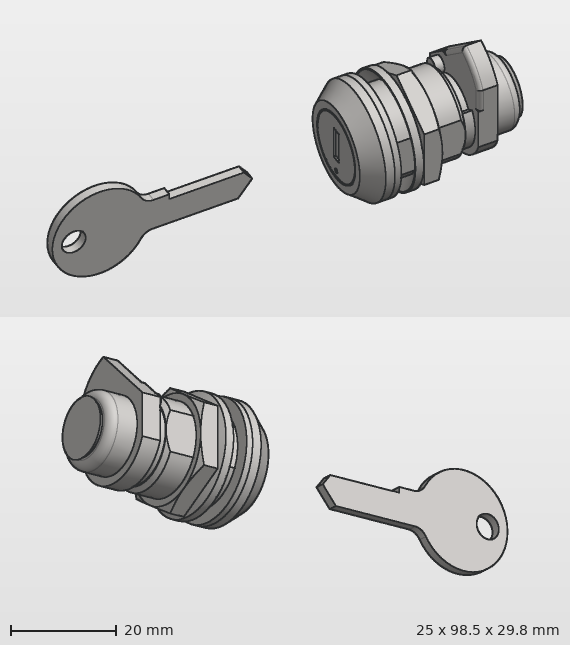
import cadquery as cq
import math


overall_length = 98.5

cone_end = 3.9
flange_end = 5.9
gasket_end = 7.3
washer_front = 10.3
washer_back = 13.0
nut_end = 16.9
barrel_end = 23.2
cam_front = 25.4
cam_back = 29.5
end_nut_back = 35.9
lock_back = 36.8

head_radius = 12.5
head_face_radius = 9.5
barrel_radius = 9.6
barrel_chamfer = 1.0
barrel_half_flats = 8.6
neck_radius = 8.4
stop_floor_radius = 6.6
stop_half_angle = math.radians(59)

plug_radius = 7.7
plug_chamfer = 0.3
plug_length = 20.7
spindle_radius = 4.9
mark_radius = 0.5
mark_z = -5.8
mark_depth = 1.0

washer_edge_end = 12.1
washer_rim_radius = 12.2
washer_dish_depth = 2.0
washer_back_radius = 10.3
nut_sides = 6
nut_across_flats = 22.1
nut_corner_radius = nut_across_flats / 2 / math.cos(math.pi / nut_sides)
nut_corner_bevel = 0.8

cam_bottom = -9.75
cam_side_bottom = -3.1
cam_half_width = 9.7
cam_shoulder_left_z = 5.8
cam_tip = (3.1, 17.0)
cam_nose_mid = (6.6, 14.8)
cam_nose_end = (cam_half_width, 10.8)
cam_rounding = 1.0
cam_rounding_left_z = 10.2
cam_rounding_right_z = 5.8
stop_pin_radius = 1.8
stop_pin_x = -5.6
stop_pin_z = 6.3
stop_pin_gap = 0.3

end_nut_radius = 8.0
end_nut_fillet = 1.9
disc_front_radius = 5.6
disc_back_radius = 6.2

key_back = lock_back - overall_length
key_thickness = 2.1
bow_radius = 10.2
bow_y = key_back + bow_radius
bow_z = 0.7
bow_fillet = 3.0
key_hole_radius = 2.6
key_hole_y = -57.0
blade_tip_y = -18.6
blade_top_start_y = -20.4
blade_bottom_start_y = -21.7
blade_top = 3.0
blade_bottom = -3.1
shoulder_y = -36.4
shoulder_top = 4.1
keyway_depth = 0.5


def disc(radius, y_start, y_end, x=0, z=0):
    """Cylinder along Y between two stations."""
    return (
        cq.Workplane("XZ", origin=(x, y_start, z))
        .circle(radius)
        .extrude(-(y_end - y_start))
    )


def turned(profile):
    """Solid of revolution about Y from (radius, y) points."""
    return cq.Workplane("XY").polyline(profile).close().revolve(360, (0, 0, 0), (0, 1, 0))


def block(x_range, y_range, z_range):
    """Box between given limits."""
    sizes = [high - low for low, high in (x_range, y_range, z_range)]
    corner = (x_range[0], y_range[0], z_range[0])
    return cq.Workplane("XY").box(*sizes, centered=False).translate(corner)


def make_barrel():
    barrel = disc(barrel_radius, flange_end, barrel_end).faces(">Y").chamfer(barrel_chamfer)
    flats = block(
        (-barrel_half_flats, barrel_half_flats),
        (flange_end, barrel_end),
        (-barrel_radius, barrel_radius),
    )
    return barrel.intersect(flats)


def make_neck():
    """Rear neck with a sector recess at the top that limits the cam's turn."""
    reach = 2 * neck_radius
    sector_x = reach * math.sin(stop_half_angle)
    sector_z = reach * math.cos(stop_half_angle)
    sector = (
        cq.Workplane("XZ", origin=(0, barrel_end, 0))
        .polyline([(0, 0), (-sector_x, sector_z), (0, reach), (sector_x, sector_z)])
        .close()
        .extrude(-(cam_front - barrel_end))
        .cut(disc(stop_floor_radius, barrel_end, cam_front))
    )
    return disc(neck_radius, barrel_end, cam_front).cut(sector)


def make_housing():
    head = turned([
        (0, 0),
        (head_face_radius, 0),
        (head_radius, cone_end),
        (head_radius, flange_end),
        (0, flange_end),
    ])
    return (
        head.union(make_barrel())
        .union(make_neck())
        .cut(disc(plug_radius, 0, plug_length))
        .cut(disc(spindle_radius, plug_length, cam_front))
    )


def make_plug():
    keyway = block(
        (-key_thickness / 2, key_thickness / 2),
        (0, keyway_depth),
        (blade_bottom, shoulder_top),
    )
    return (
        disc(plug_radius, 0, plug_length)
        .faces("<Y")
        .chamfer(plug_chamfer)
        .union(disc(spindle_radius, plug_length, end_nut_back))
        .cut(keyway)
        .cut(disc(mark_radius, 0, mark_depth, z=mark_z))
    )


def make_gasket():
    return disc(head_radius, flange_end, gasket_end).cut(disc(barrel_radius, flange_end, gasket_end))


def make_washer():
    """Dished washer, hollow at the front and bevelled at the back."""
    return turned([
        (barrel_radius, washer_front + washer_dish_depth),
        (washer_rim_radius, washer_front),
        (head_radius, washer_front),
        (head_radius, washer_edge_end),
        (washer_back_radius, washer_back),
        (barrel_radius, washer_back),
    ])


def make_nut():
    """Hexagon nut with two corners up and down and its rear corners bevelled."""
    hexagon = (
        cq.Workplane("XZ", origin=(0, washer_back, 0))
        .polygon(nut_sides, 2 * nut_corner_radius)
        .extrude(-(nut_end - washer_back))
        .rotate((0, 0, 0), (0, 1, 0), 180 / nut_sides)
    )
    bevelled_bar = turned([
        (barrel_radius, washer_back),
        (nut_corner_radius, washer_back),
        (nut_corner_radius, nut_end - nut_corner_bevel),
        (nut_across_flats / 2, nut_end),
        (barrel_radius, nut_end),
    ])
    return hexagon.intersect(bevelled_bar)


def make_cam():
    """Cam with a hooked nose, rounded at the front, and a stop pin on its front face."""
    plate = (
        cq.Workplane("XZ", origin=(0, cam_front, 0))
        .moveTo(-cam_half_width, cam_shoulder_left_z)
        .lineTo(*cam_tip)
        .threePointArc(cam_nose_mid, cam_nose_end)
        .lineTo(cam_half_width, cam_side_bottom)
        .threePointArc((0, cam_bottom), (-cam_half_width, cam_side_bottom))
        .close()
        .extrude(-(cam_back - cam_front))
    )
    front_of_nose = cq.selectors.BoxSelector(
        (-cam_half_width / 2, cam_front - cam_rounding / 2, 0),
        (cam_half_width + cam_rounding, cam_front + cam_rounding / 2, cam_tip[1]),
    )
    square_edged_base = block(
        (-cam_half_width, 0),
        (cam_front, cam_back),
        (cam_bottom, cam_rounding_left_z),
    ).union(block(
        (0, cam_half_width),
        (cam_front, cam_back),
        (cam_bottom, cam_rounding_right_z),
    )).intersect(plate)
    stop_pin = disc(stop_pin_radius, barrel_end + stop_pin_gap, cam_front, stop_pin_x, stop_pin_z)
    return (
        plate.edges(front_of_nose)
        .fillet(cam_rounding)
        .union(square_edged_base)
        .union(stop_pin)
        .cut(disc(spindle_radius, cam_front, cam_back))
    )


def make_end_nut():
    return (
        disc(end_nut_radius, cam_back, end_nut_back)
        .faces(">Y")
        .fillet(end_nut_fillet)
        .cut(disc(spindle_radius, cam_back, end_nut_back))
    )


def make_end_disc():
    return turned([
        (0, end_nut_back),
        (disc_front_radius, end_nut_back),
        (disc_back_radius, lock_back),
        (0, lock_back),
    ])


def make_key():
    blade = (
        cq.Workplane("YZ", origin=(-key_thickness / 2, 0, 0))
        .polyline([
            (blade_tip_y, bow_z),
            (blade_top_start_y, blade_top),
            (shoulder_y, blade_top),
            (shoulder_y, shoulder_top),
            (bow_y, shoulder_top),
            (bow_y, blade_bottom),
            (blade_bottom_start_y, blade_bottom),
        ])
        .close()
        .extrude(key_thickness)
    )
    bow = (
        cq.Workplane("YZ", origin=(-key_thickness / 2, bow_y, bow_z))
        .circle(bow_radius)
        .extrude(key_thickness)
    )
    blade_root = cq.selectors.BoxSelector(
        (-key_thickness, bow_y + bow_radius / 2, blade_bottom - key_thickness),
        (key_thickness, bow_y + bow_radius, shoulder_top + key_thickness),
    )
    hole = (
        cq.Workplane("YZ", origin=(-key_thickness / 2, key_hole_y, bow_z))
        .circle(key_hole_radius)
        .extrude(key_thickness)
    )
    return bow.union(blade).edges("|X").edges(blade_root).fillet(bow_fillet).cut(hole)


housing = make_housing()
plug = make_plug()
gasket = make_gasket()
washer = make_washer()
nut = make_nut()
cam = make_cam()
end_nut = make_end_nut()
end_disc = make_end_disc()
key = make_key()

result = cq.Compound.makeCompound([
    housing.val(),
    plug.val(),
    gasket.val(),
    washer.val(),
    nut.val(),
    cam.val(),
    end_nut.val(),
    end_disc.val(),
    key.val(),
])